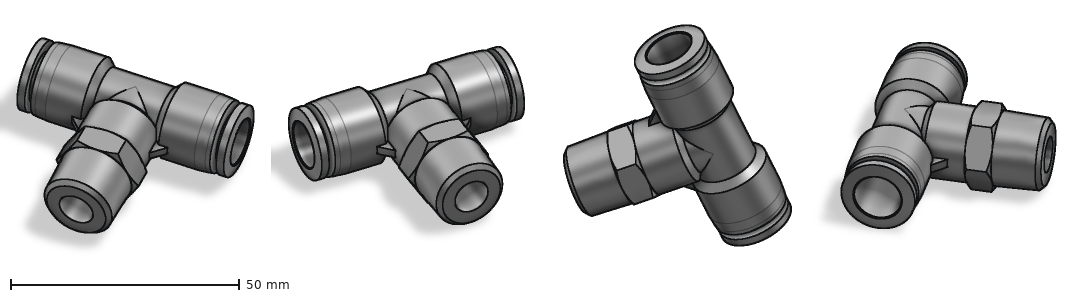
import cadquery as cq
import math


half_length = 25.15
collar_edge_x = half_length - 0.45
collar_back_x = half_length - 2.25
sleeve_face_x = half_length - 3.35
sleeve_rim_x = half_length - 3.7
sleeve_step_x = half_length - 4.85
sleeve_full_x = half_length - 7.35
sleeve_taper_x = half_length - 15.85
sleeve_tube_x = half_length - 17.65

sleeve_radius = 8.75
sleeve_step_radius = 8.55
sleeve_rim_radius = 8.4
collar_radius = 8.3
collar_neck_radius = 5.9
tube_radius = 7.05

flow_radius = 4.0
socket_radius = 5.3
mouth_chamfer = 0.25
mouth_radius = socket_radius + mouth_chamfer
socket_end_x = sleeve_taper_x

overall_depth = 41.25
branch_length = overall_depth - sleeve_radius
branch_radius = 8.45
branch_cone_start = 5.05
branch_cone_end = branch_cone_start + branch_radius - tube_radius
hex_start = 15.55
hex_end = 21.6
hex_across_flats = 17.0
hex_chamfer_angle = 30.0
thread_start_radius = 8.4
thread_taper = 1 / 16
thread_chamfer = 1.05

rib_thickness = 2.0
rib_reach = 20.15


def branch_revolve(profile):
    """Turn (radius, distance) points, closed along the axis, around the branch axis."""
    points = [(radius, -distance) for radius, distance in profile]
    return cq.Workplane("XY").polyline(points).close().revolve(360, (0, 0, 0), (0, 1, 0))


def run_revolve(points):
    """Turn (x, radius) points around the run axis."""
    return cq.Workplane("XY").polyline(points).close().revolve(360, (0, 0, 0), (1, 0, 0))


def run_half_body():
    """Tube, sleeve and release collar on the +X side."""
    return run_revolve([
        (0, 0),
        (0, tube_radius),
        (sleeve_tube_x, tube_radius),
        (sleeve_taper_x, sleeve_radius),
        (sleeve_full_x, sleeve_radius),
        (sleeve_step_x, sleeve_step_radius),
        (sleeve_rim_x, sleeve_rim_radius),
        (sleeve_face_x, collar_neck_radius),
        (collar_back_x, collar_neck_radius),
        (collar_back_x, collar_radius),
        (collar_edge_x, collar_radius),
        (half_length, mouth_radius),
        (half_length, 0),
    ])


def run_half_bore():
    """Flow bore, tube socket and its chamfered mouth on the +X side."""
    return run_revolve([
        (0, 0),
        (0, flow_radius),
        (socket_end_x, flow_radius),
        (socket_end_x, socket_radius),
        (half_length - mouth_chamfer, socket_radius),
        (half_length, mouth_radius),
        (half_length, 0),
    ])


def both_sides(half):
    """Join a +X half with its mirror image."""
    return half.union(half.mirror("YZ"))


def branch_end():
    """Cone, cylinder and tapered thread, starting clear of the mitred tube."""
    thread_end = branch_length - thread_chamfer
    thread_end_radius = thread_start_radius - (thread_end - hex_end) * thread_taper / 2
    return branch_revolve([
        (0, branch_cone_start),
        (tube_radius, branch_cone_start),
        (branch_radius, branch_cone_end),
        (branch_radius, hex_end),
        (thread_start_radius, hex_end),
        (thread_end_radius, thread_end),
        (thread_end_radius - thread_chamfer, branch_length),
        (0, branch_length),
    ])


def branch_tube():
    """Plain tube that mitres with the run tube of the same radius."""
    return cq.Workplane("XZ").circle(tube_radius).extrude(branch_cone_start)


def hexagon():
    """Wrench hexagon with flats facing +Z and -Z and both ends chamfered."""
    flat_radius = hex_across_flats / 2
    corner_radius = flat_radius / math.cos(math.pi / 6)
    corner_drop = (corner_radius - flat_radius) * math.tan(math.radians(hex_chamfer_angle))
    prism = (
        cq.Workplane("XZ", origin=(0, -hex_start, 0))
        .polygon(6, 2 * corner_radius)
        .extrude(hex_end - hex_start)
    )
    envelope = branch_revolve([
        (0, hex_start),
        (flat_radius, hex_start),
        (corner_radius, hex_start + corner_drop),
        (corner_radius, hex_end - corner_drop),
        (flat_radius, hex_end),
        (0, hex_end),
    ])
    return prism.intersect(envelope)


def ribs():
    """Flat triangular plate that forms the rib in both corners between run and branch."""
    return (
        cq.Workplane("XY")
        .polyline([(-rib_reach, 0), (rib_reach, 0), (0, -rib_reach)])
        .close()
        .extrude(rib_thickness / 2, both=True)
    )


body = both_sides(run_half_body())
body = body.union(branch_tube()).union(branch_end()).union(hexagon()).union(ribs())

branch_bore = cq.Workplane("XZ").circle(flow_radius).extrude(branch_length)
result = body.cut(both_sides(run_half_bore())).cut(branch_bore)